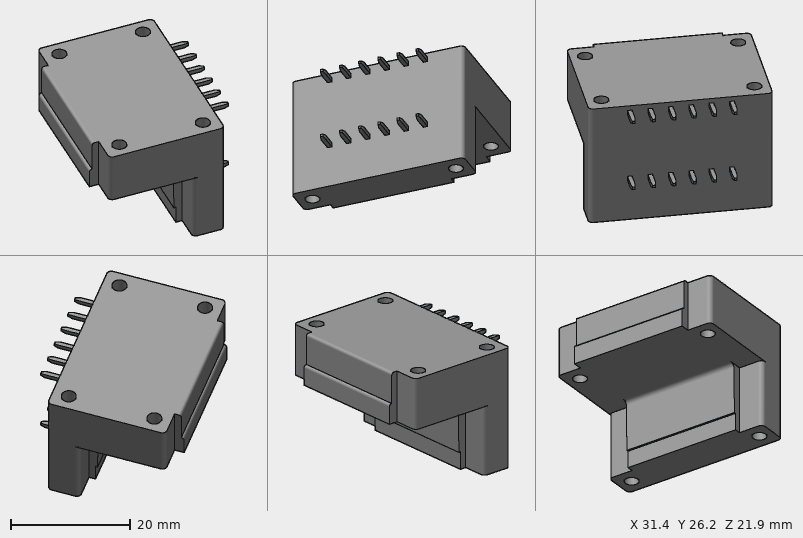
import cadquery as cq

width = 31.4
height = 21.9
arm_underside = 12.62
arm_depth = 20.98
leg_depth = 5.78
corner_radius = 0.82

pad_width = 21.98
pad_edge_radius = 0.5
ridge_depth = 22.67
ridge_top = 16.3
arm_pad_depth = ridge_depth - pad_edge_radius
leg_pad_depth = 6.95
leg_step_height = 3.2
leg_step_depth = 7.3
leg_pad_top_depth = 7.4
leg_pad_fillet = 0.85

hole_diameter = 2.5
hole_spacing_x = 26.12
hole_back_inset = leg_depth / 2
hole_front_inset = arm_depth - hole_back_inset

pin_count = 6
pin_pitch = 3.5
pin_rows = (7.95, 20.63)
pin_size = 0.8
pin_length = 3.52
pin_tip_length = 0.82
pin_tip_size = 0.45


def rounded_block(depth, block_height):
    """Upright block reaching forward from the back face, with round vertical edges."""
    block = cq.Workplane("XY").box(width, depth, block_height, centered=(True, False, False))
    return block.edges("|Z").fillet(corner_radius).translate((0, -depth, 0))


def housing():
    leg = rounded_block(leg_depth, height)
    arm = rounded_block(arm_depth, height - arm_underside)
    return leg.union(arm.translate((0, 0, arm_underside)))


def pad_profile():
    """Start a (Y, Z) profile that is later extruded across the pad width."""
    return cq.Workplane("YZ", origin=(-pad_width / 2, 0, 0))


def arm_pad():
    start = -arm_depth / 2
    front = -arm_pad_depth
    ridge_front = -ridge_depth
    return (
        pad_profile()
        .moveTo(start, height)
        .lineTo(front + pad_edge_radius, height)
        .radiusArc((front, height - pad_edge_radius), -pad_edge_radius)
        .lineTo(front, ridge_top)
        .radiusArc((ridge_front, ridge_top - pad_edge_radius), -pad_edge_radius)
        .lineTo(ridge_front, arm_underside)
        .lineTo(start, arm_underside)
        .close()
        .extrude(pad_width)
    )


def leg_pad():
    start = -leg_depth / 2
    fillet_start = arm_underside - leg_pad_fillet
    return (
        pad_profile()
        .moveTo(start, 0)
        .lineTo(-leg_pad_depth, 0)
        .lineTo(-leg_pad_depth, leg_step_height)
        .lineTo(-leg_step_depth, leg_step_height)
        .lineTo(-leg_pad_top_depth, fillet_start)
        .radiusArc((-leg_pad_top_depth - leg_pad_fillet, arm_underside), -leg_pad_fillet)
        .lineTo(start, arm_underside)
        .close()
        .extrude(pad_width)
    )


def mounting_holes():
    x = hole_spacing_x / 2
    centers = [(side * x, -inset) for side in (-1, 1) for inset in (hole_back_inset, hole_front_inset)]
    return cq.Workplane("XY").pushPoints(centers).circle(hole_diameter / 2).extrude(height)


def pin():
    """Square pin along +Y, tapered at its tip and centered on the origin."""
    shank_length = pin_length - pin_tip_length
    shank = cq.Workplane("XZ").rect(pin_size, pin_size).extrude(-shank_length)
    tip = (
        cq.Workplane("XZ", origin=(0, shank_length, 0))
        .rect(pin_size, pin_size)
        .workplane(offset=-pin_tip_length)
        .rect(pin_tip_size, pin_tip_size)
        .loft(ruled=True)
    )
    return shank.union(tip)


result = housing().union(arm_pad()).union(leg_pad()).cut(mounting_holes())
for row_height in pin_rows:
    for index in range(pin_count):
        pin_x = (index - (pin_count - 1) / 2) * pin_pitch
        result = result.union(pin().translate((pin_x, 0, row_height)))